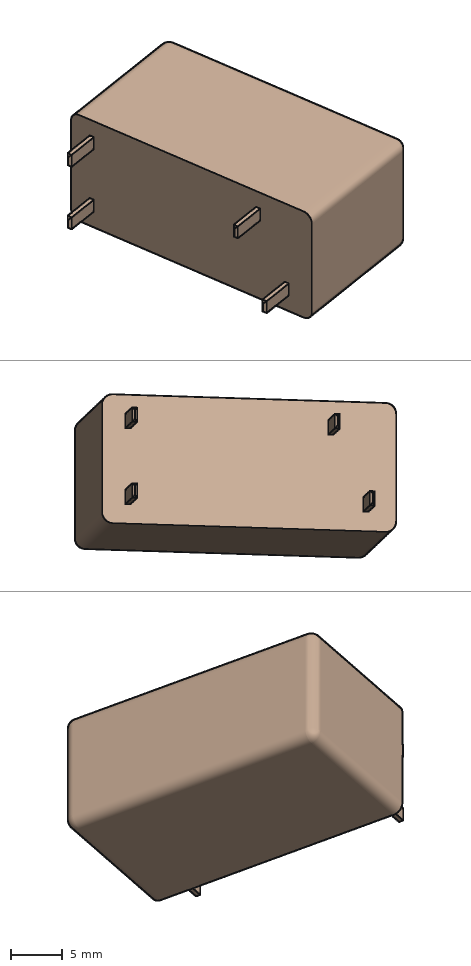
import cadquery as cq

body_length = 29.0
body_height = 12.7
overall_depth = 19.6
pin_length = 3.9
body_depth = overall_depth - pin_length
edge_radius = 1.05

pin_width = 0.5
pin_height = 1.42
tip_chamfer = 0.23

left_pin_x = -11.98
upper_row_spacing = 20.0
lower_row_spacing = 23.45
upper_right_pin_x = left_pin_x + upper_row_spacing
lower_right_pin_x = left_pin_x + lower_row_spacing
row_gap = 7.48
upper_row_z = row_gap / 2
lower_row_z = -row_gap / 2

pin_positions = [
    (left_pin_x, upper_row_z),
    (upper_right_pin_x, upper_row_z),
    (left_pin_x, lower_row_z),
    (lower_right_pin_x, lower_row_z),
]


def make_body():
    """Box rounded on every edge except those around the pin face."""
    box = cq.Workplane("XY").box(body_length, body_depth, body_height)
    box = box.translate((0, body_depth / 2, 0))
    return box.edges("|Y or >Y").fillet(edge_radius)


def make_pin(x, z):
    """Flat pin starting on the pin face, chamfered around its tip."""
    pin = cq.Workplane("XY").box(pin_width, pin_length, pin_height)
    pin = pin.faces("<Y").chamfer(tip_chamfer)
    return pin.translate((x, -pin_length / 2, z))


result = make_body()
for pin_x, pin_z in pin_positions:
    result = result.union(make_pin(pin_x, pin_z))